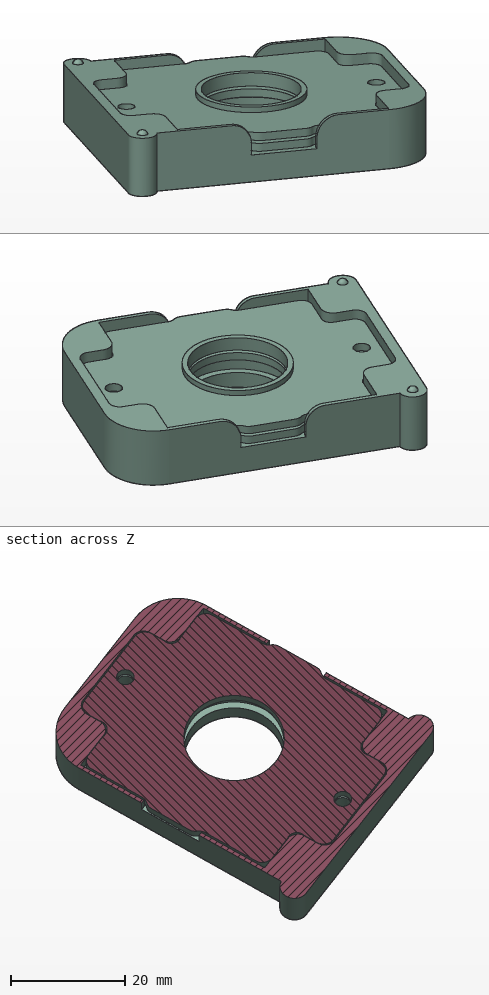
import cadquery as cq
import math

length = 56.45
rear_y = 28.15
front_y = rear_y - length
body_width = 40.4
front_height = 10.8
rear_height = 10.95
rear_corner_radius = 9.0
half_width = body_width / 2

overall_width = 44.6
lug_radius = 2.5
lug_flat = 0.1
lug_x = overall_width / 2 - lug_radius
lug_front_y = front_y + lug_radius
lug_rear_y = lug_front_y + lug_flat
overall_height = 11.45
pin_radius = 0.95
pin_y = lug_front_y + lug_flat / 2
dome_rise = overall_height - front_height

floor_z = 5.0
pocket_width = 38.8
pocket_shoulder_length = 38.5
tab_width = 20.0
pocket_tab_length = 52.6
pocket_tab_radius = 2.0
pocket_root_radius = 2.25

notch_width = 11.95
rear_notch_radius = 4.0
front_notch_radius = 3.5

bore_diameter = 17.5
recess_diameter = 20.0
recess_z = 3.0
small_hole_diameter = 3.0
small_hole_y = 22.8

plate_thickness = 1.45
plate_gap = 0.5
plate_width = 38.3
plate_tab_length = 52.3
plate_tab_radius = 2.0
plate_root_radius = 1.7
plate_corner_radius = 2.0
finger_bend_radius = 2.0
finger_flat = 7.9
collar_diameter = 19.5
collar_rise = 1.0
lower_plate_z = floor_z + plate_gap
upper_plate_z = lower_plate_z + plate_thickness + plate_gap


def cross_prism(width, shoulder_length, tab_length, tab_radius, root_radius, height):
    """Rectangle with a rounded tab at its front and rear ends."""
    main = cq.Workplane("XY").box(width, shoulder_length, height, centered=(True, True, False))
    tabs = cq.Workplane("XY").box(tab_width, tab_length, height, centered=(True, True, False))
    tabs = tabs.edges("|Z").fillet(tab_radius)
    prism = main.union(tabs)
    root_x = tab_width / 2
    root_y = shoulder_length / 2
    for x in (-root_x, root_x):
        for y in (-root_y, root_y):
            root = prism.edges(cq.selectors.NearestToPointSelector((x, y, height / 2)))
            prism = root.fillet(root_radius)
    return prism


def centre_cylinder(diameter, y, bottom_z, top_z):
    """Upright cylinder centred across the width of the housing."""
    base = cq.Workplane("XY", origin=(0, y, bottom_z))
    return base.circle(diameter / 2).extrude(top_z - bottom_z)


def cut_holes(body, bottom_z, top_z):
    """Cut the central bore and the two small holes."""
    body = body.cut(centre_cylinder(bore_diameter, 0, bottom_z, top_z))
    for y in (-small_hole_y, small_hole_y):
        body = body.cut(centre_cylinder(small_hole_diameter, y, bottom_z, top_z))
    return body


def make_notch():
    """Opening through both side walls, with rounded shoulders that flare out at the top."""
    edge = notch_width / 2
    return (
        cq.Workplane("YZ")
        .moveTo(-edge, floor_z)
        .lineTo(edge, floor_z)
        .lineTo(edge, rear_height - rear_notch_radius)
        .radiusArc((edge + rear_notch_radius, rear_height), rear_notch_radius)
        .lineTo(-edge - front_notch_radius, rear_height)
        .lineTo(-edge - front_notch_radius, front_height)
        .radiusArc((-edge, front_height - front_notch_radius), front_notch_radius)
        .close()
        .extrude(half_width, both=True)
    )


def make_dome():
    """Spherical cap on a lug."""
    half_angle = math.atan2(dome_rise, pin_radius)
    sphere_radius = pin_radius / math.sin(2 * half_angle)
    mid_drop = sphere_radius * (1 - math.cos(half_angle))
    mid_point = (sphere_radius * math.sin(half_angle), dome_rise - mid_drop)
    return (
        cq.Workplane("XZ")
        .lineTo(pin_radius, 0)
        .threePointArc(mid_point, (0, dome_rise))
        .close()
        .revolve(360, (0, 0), (0, 1))
    )


def make_front():
    """Front half of the block, whose corners swell into round lugs level with the front face."""
    join_y = lug_rear_y + math.sqrt(lug_radius**2 - (half_width - lug_x) ** 2)
    outer_x = overall_width / 2
    return (
        cq.Workplane("XY")
        .moveTo(half_width, 0)
        .lineTo(half_width, join_y)
        .radiusArc((outer_x, lug_rear_y), lug_radius)
        .lineTo(outer_x, lug_front_y)
        .radiusArc((lug_x, front_y), lug_radius)
        .lineTo(-lug_x, front_y)
        .radiusArc((-outer_x, lug_front_y), lug_radius)
        .lineTo(-outer_x, lug_rear_y)
        .radiusArc((-half_width, join_y), lug_radius)
        .lineTo(-half_width, 0)
        .close()
        .extrude(front_height)
    )


def make_housing():
    """Block with lugs, domed pins, pocket, notches and bores."""
    rear = cq.Workplane("XY").box(body_width, rear_y, rear_height, centered=(True, False, False))
    rear = rear.edges("|Z and >Y").fillet(rear_corner_radius)
    body = make_front().union(rear)
    dome = make_dome()
    for x in (-lug_x, lug_x):
        body = body.union(dome.translate((x, pin_y, front_height)))
    pocket = cross_prism(
        pocket_width,
        pocket_shoulder_length,
        pocket_tab_length,
        pocket_tab_radius,
        pocket_root_radius,
        rear_height - floor_z,
    )
    body = body.cut(pocket.translate((0, 0, floor_z)))
    body = body.cut(make_notch())
    body = body.cut(centre_cylinder(recess_diameter, 0, recess_z, floor_z))
    return cut_holes(body, 0, floor_z)


def make_finger_bar(bottom_z):
    """Crosswise bar whose ends reach the outer faces of the housing through the notches."""
    edge = plate_width / 2
    half_step = (half_width - edge) / 2
    half_run = math.sqrt(finger_bend_radius**2 - (finger_bend_radius - half_step) ** 2)
    flat = finger_flat / 2
    bend = flat + half_run
    root = bend + half_run
    return (
        cq.Workplane("XY", origin=(0, 0, bottom_z))
        .moveTo(edge, -root)
        .radiusArc((edge + half_step, -bend), finger_bend_radius)
        .radiusArc((half_width, -flat), -finger_bend_radius)
        .lineTo(half_width, flat)
        .radiusArc((edge + half_step, bend), -finger_bend_radius)
        .radiusArc((edge, root), finger_bend_radius)
        .lineTo(-edge, root)
        .radiusArc((-edge - half_step, bend), finger_bend_radius)
        .radiusArc((-half_width, flat), -finger_bend_radius)
        .lineTo(-half_width, -flat)
        .radiusArc((-edge - half_step, -bend), -finger_bend_radius)
        .radiusArc((-edge, -root), finger_bend_radius)
        .close()
        .extrude(plate_thickness)
    )


def make_plate(bottom_z, collar_height):
    """Cross-shaped plate that touches the pocket walls; a zero collar height leaves it flat."""
    plate = cross_prism(
        plate_width,
        pocket_shoulder_length,
        plate_tab_length,
        plate_tab_radius,
        plate_root_radius,
        plate_thickness,
    ).translate((0, 0, bottom_z))
    plate = plate.edges("|Z and (<X or >X)").fillet(plate_corner_radius)
    plate = plate.union(make_finger_bar(bottom_z))
    top_z = bottom_z + plate_thickness + collar_height
    if collar_height > 0:
        plate = plate.union(centre_cylinder(collar_diameter, 0, bottom_z, top_z))
    return cut_holes(plate, bottom_z, top_z)


housing = make_housing()
lower_plate = make_plate(lower_plate_z, 0)
upper_plate = make_plate(upper_plate_z, collar_rise)

result = cq.Compound.makeCompound([housing.val(), lower_plate.val(), upper_plate.val()])